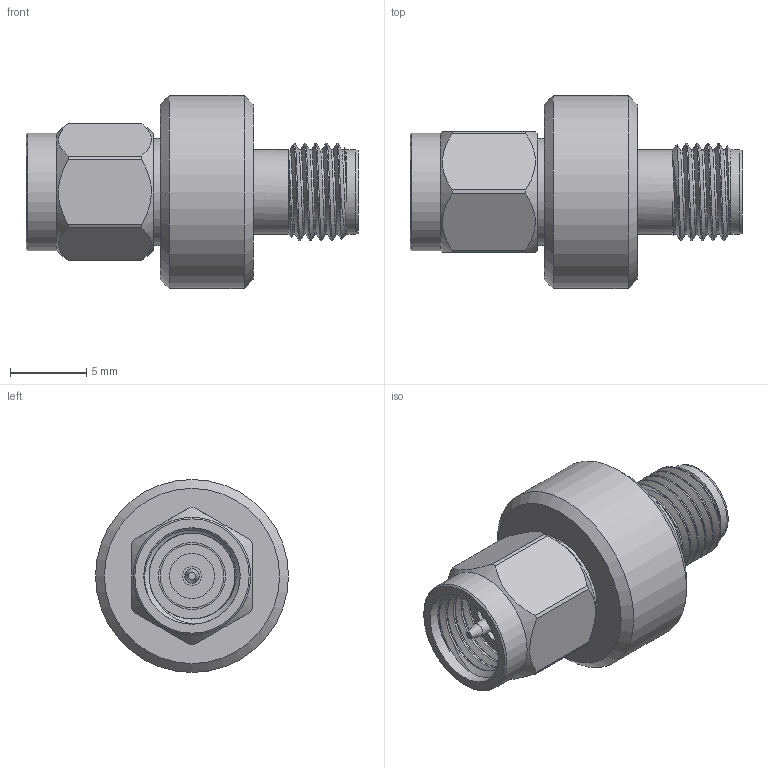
import cadquery as cq
import math


hex_start = 2.0
hex_end = 8.38
disc_start = 8.84
disc_end = 14.94
total_length = 21.84

collar_radius = 3.86
collar_chamfer = 0.1
hex_across_flats = 7.94
hex_across_corners = hex_across_flats / math.cos(math.pi / 6)
hex_corner_radius = 4.51
hex_bevel_length = 0.77
bevel_rise = hex_corner_radius - collar_radius

neck_radius = 3.52
disc_radius = 6.35
disc_chamfer = 0.59
tail_radius = 2.79
tail_chamfer_length = 0.16
tail_chamfer_height = 0.06

thread_pitch = 25.4 / 36
thread_root_overlap = 0.05
tail_thread_radius = 3.2
tail_thread_start = 17.25
tail_thread_end = 21.1
tail_crest_width = 0.08
tail_root_width = 0.62
tail_crest_station = 17.65

bore_radius = 3.17
bore_depth = 3.33
bore_crest_radius = 2.83
bore_thread_start = 0.71
bore_crest_width = 0.14
bore_root_width = 0.69
bore_crest_station = 1.38
recess_radius = 2.2
recess_depth = 0.3
recess_step = 0.05
recess_floor_radius = 2.1
insulator_radius = 1.48
pin_hole_radius = 0.63

pin_radius = 0.47
pin_tip_radius = 0.23
pin_tip_station = 0.45
pin_shoulder_station = 1.28


def cylinder(start, end, radius):
    return cq.Workplane("YZ").workplane(offset=start).circle(radius).extrude(end - start)


def turned(profile):
    """Solid of revolution about X from (station, radius) points."""
    return cq.Workplane("XY").polyline(profile).close().revolve(360, (0, 0, 0), (1, 0, 0))


def thread_ridge(root_radius, crest_radius, root_width, crest_width, start, end, crest_station):
    """Right-handed ridge covering start to end; its crest may point outward or inward."""
    outward = math.copysign(1, crest_radius - root_radius)
    buried_radius = root_radius - outward * thread_root_overlap
    turns_before = math.ceil((crest_station - start) / thread_pitch) + 1
    first_crest = crest_station - turns_before * thread_pitch
    turns = math.ceil((end - first_crest) / thread_pitch) + 1

    corners = [
        (buried_radius, -root_width / 2),
        (crest_radius, -crest_width / 2),
        (crest_radius, crest_width / 2),
        (buried_radius, root_width / 2),
    ]
    length = turns * thread_pitch
    helices = [
        cq.Wire.makeHelix(thread_pitch, length, radius).translate(cq.Vector(0, 0, shift))
        for radius, shift in corners
    ]
    sides = [cq.Face.makeRuledSurface(helices[i - 1], helices[i]) for i in range(len(helices))]
    caps = [
        cq.Face.makeFromWires(
            cq.Wire.makePolygon([cq.Vector(r, 0, z + lift) for r, z in corners], close=True)
        )
        for lift in (0, length)
    ]
    ridge = cq.Workplane(cq.Solid.makeSolid(cq.Shell.makeShell(sides + caps)))
    ridge = ridge.rotate((0, 0, 0), (0, 1, 0), 90).rotate((0, 0, 0), (1, 0, 0), 180)
    ridge = ridge.translate((first_crest, 0, 0))

    bevel = abs(crest_radius - root_radius) + thread_root_overlap
    peak_radius = root_radius + outward * bevel
    base_radius = buried_radius - outward * thread_root_overlap
    envelope = turned([
        (start, base_radius),
        (start, root_radius),
        (start + bevel, peak_radius),
        (end - bevel, peak_radius),
        (end, root_radius),
        (end, base_radius),
    ])
    return ridge.intersect(envelope)


def coupling_nut():
    collar = cylinder(0, hex_start, collar_radius).faces("<X").chamfer(collar_chamfer)
    hexagon = (
        cq.Workplane("YZ")
        .workplane(offset=hex_start)
        .polygon(6, hex_across_corners)
        .extrude(hex_end - hex_start)
        .rotate((0, 0, 0), (1, 0, 0), 30)
    )
    bevelled_blank = turned([
        (hex_start, 0),
        (hex_start, collar_radius),
        (hex_start + hex_bevel_length, collar_radius + bevel_rise),
        (hex_end - hex_bevel_length, collar_radius + bevel_rise),
        (hex_end, collar_radius),
        (hex_end, 0),
    ])
    return collar.union(hexagon.intersect(bevelled_blank))


def body():
    neck = cylinder(hex_end, disc_start, neck_radius)
    disc = cylinder(disc_start, disc_end, disc_radius).faces("<X or >X").chamfer(disc_chamfer)
    return neck.union(disc)


def threaded_tail():
    tail = cylinder(disc_end, total_length, tail_radius)
    tail = tail.faces(">X").chamfer(tail_chamfer_length, tail_chamfer_height)
    return tail.union(thread_ridge(
        tail_radius, tail_thread_radius, tail_root_width, tail_crest_width,
        tail_thread_start, tail_thread_end, tail_crest_station,
    ))


def bore():
    """Nut bore followed by a recess whose floor steps down towards the pin."""
    recess_floor = bore_depth + recess_depth
    pocket = cylinder(0, bore_depth, bore_radius)
    pocket = pocket.union(cylinder(bore_depth, recess_floor, recess_radius))
    for radius in (recess_floor_radius, insulator_radius, pin_hole_radius):
        pocket = pocket.union(cylinder(recess_floor, recess_floor + recess_step, radius))
        recess_floor += recess_step
    return pocket


def bore_thread():
    """Internal thread; its run-out is buried behind the end of the bore."""
    buried_end = bore_depth + 2 * (bore_radius - bore_crest_radius)
    return thread_ridge(
        bore_radius, bore_crest_radius, bore_root_width, bore_crest_width,
        bore_thread_start, buried_end, bore_crest_station,
    )


def centre_pin():
    return turned([
        (pin_tip_station, 0),
        (pin_tip_station, pin_tip_radius),
        (pin_shoulder_station, pin_radius),
        (hex_end, pin_radius),
        (hex_end, 0),
    ])


result = (
    coupling_nut()
    .union(body())
    .union(threaded_tail())
    .cut(bore())
    .union(bore_thread())
    .union(centre_pin())
)